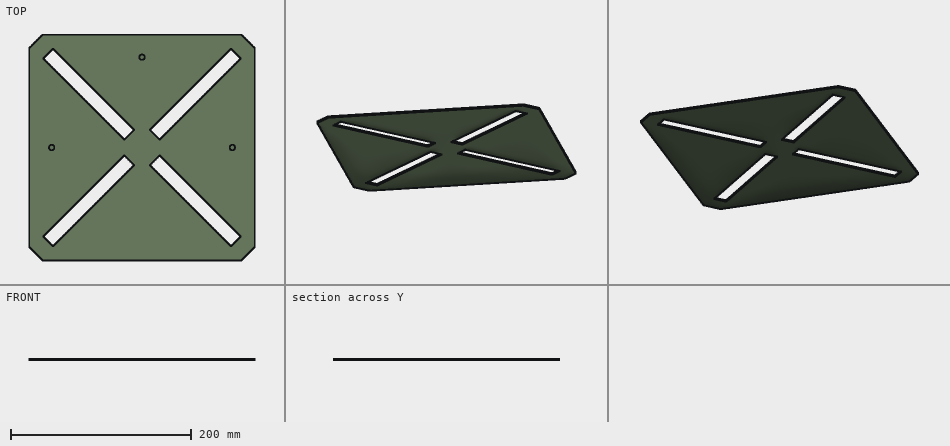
import cadquery as cq
import math

PLATE_SIDE = 250.0
PLATE_THICKNESS = 2.0
CORNER_CHAMFER = 15.0

SLOT_WIDTH = 15.0
SLOT_INNER_REACH = 20.0
SLOT_OUTER_REACH = 146.8
FIRST_SLOT_ANGLE = 45.0
SLOT_COUNT = 4

RECESS_DIAMETER = 6.0
RECESS_DEPTH = 0.1
RECESS_OFFSET = 100.0
RECESS_ANGLES = (0.0, 90.0, 180.0)


def make_plate():
    """Square plate with its four corners cut off at 45 degrees."""
    square = cq.Workplane("XY").rect(PLATE_SIDE, PLATE_SIDE).extrude(PLATE_THICKNESS)
    return square.edges("|Z").chamfer(CORNER_CHAMFER)


def make_slot(angle):
    """Square-ended slot through the plate, pointing away from its centre."""
    slot_length = SLOT_OUTER_REACH - SLOT_INNER_REACH
    middle = (SLOT_OUTER_REACH + SLOT_INNER_REACH) / 2
    slot = cq.Workplane("XY").center(middle, 0).rect(slot_length, SLOT_WIDTH).extrude(PLATE_THICKNESS)
    return slot.rotate((0, 0, 0), (0, 0, 1), angle)


def make_recess(angle):
    """Shallow round recess sunk into the upper face."""
    center_x = RECESS_OFFSET * math.cos(math.radians(angle))
    center_y = RECESS_OFFSET * math.sin(math.radians(angle))
    floor = PLATE_THICKNESS - RECESS_DEPTH
    disc = cq.Workplane("XY").workplane(offset=floor).center(center_x, center_y)
    return disc.circle(RECESS_DIAMETER / 2).extrude(RECESS_DEPTH)


result = make_plate()
for slot_index in range(SLOT_COUNT):
    result = result.cut(make_slot(FIRST_SLOT_ANGLE + slot_index * 360.0 / SLOT_COUNT))
for recess_angle in RECESS_ANGLES:
    result = result.cut(make_recess(recess_angle))